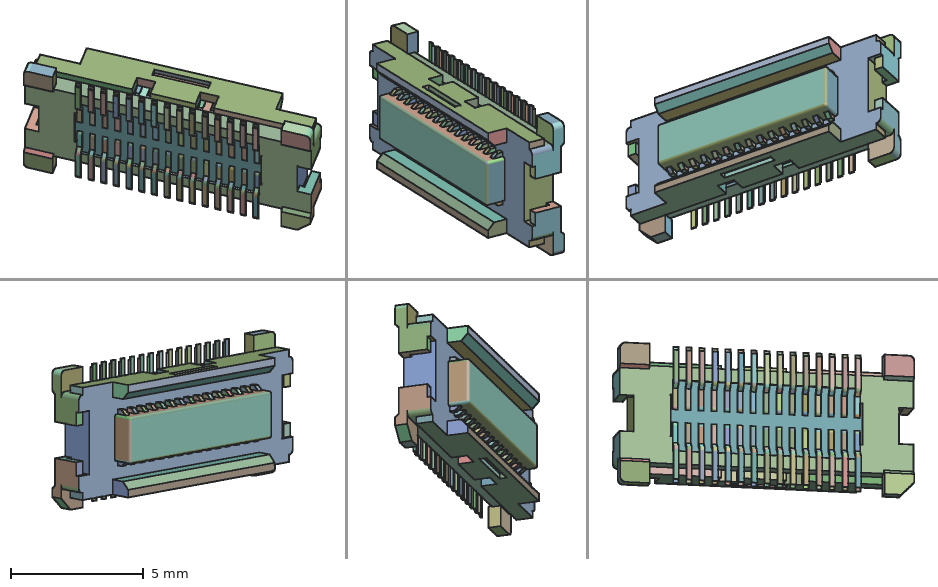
import cadquery as cq
import math


body_length = 11.3
body_half_height = 1.88
body_bottom = 0.175
body_top = 1.47
corner_radius = 0.2

foot_length = 1.14
foot_bottom = 0.03
foot_top = 0.52
foot_half_height = 2.7
foot_ramp_start = 1.75
foot_root = body_half_height - corner_radius
foot_corner_chamfer = 0.5

wall_outer = 2.16
wall_inner = 1.58
wall_base = 0.81
wall_base_length = 10.9
wall_top = 2.3
wall_length = 7.74
lead_in_y = 0.27
lead_in_z = 0.28

pocket_length = 2.22
pocket_low = 1.74
pocket_high = 2.02
pocket_depth = 0.2

window_offset = 1.25
window_width = 0.72
window_top = 1.43
window_floor = 1.73
ramp_low = 1.05
ramp_depth = 0.23

notch_depth = 0.55
notch_half_height = 0.7
tab_half_height = 1.22
tab_head_bottom = 1.33
tab_slot_bottom = 0.49
tab_thickness = 0.2

tongue_length = 7.5
tongue_half_height = 0.9
tongue_radius = 0.1

pin_count = 15
pin_pitch = 0.5
pin_width = 0.2
pin_thickness = 0.13
pin_tip = 2.63
pin_step_length = 0.13
pin_step_depth = 0.07
pin_bend = 1.25
pin_bend_radius = 0.23
pin_tail_bottom = 0.2
pin_tail_depth = 0.15
pin_tail_end = 0.25
pin_tail_round = 0.13

bump_outer = 1.08
bump_shoulder = 1.68
bump_top = 1.9

recess_depth = 0.1
recess_floor = body_bottom + recess_depth
recess_half_height = 1.37
recess_length = (pin_count - 1) * pin_pitch + pin_width
recess_wide_length = 7.38
recess_wide_half_height = 0.8

SIDES = (1, -1)


def block(x_range, y_range, z_range):
    """Box spanning the given (low, high) ranges."""
    low = [min(r) for r in (x_range, y_range, z_range)]
    size = [max(r) - min(r) for r in (x_range, y_range, z_range)]
    return cq.Workplane("XY").box(*size, centered=False).translate(tuple(low))


def centered_block(length, y_range, half_height):
    """Box centred on X = 0 and Z = 0."""
    return block((-length / 2, length / 2), y_range, (-half_height, half_height))


def both_rows(shape):
    """The shape together with its mirror image across Z = 0."""
    return shape.union(shape.mirror("XY"))


def extrude_yz(points, x_center, width):
    """Prism along X with a polygonal (y, z) section."""
    sketch = cq.Workplane("YZ").polyline(points).close()
    return sketch.extrude(width / 2, both=True).translate((x_center, 0, 0))


def pin_positions():
    return [(i - (pin_count - 1) / 2) * pin_pitch for i in range(pin_count)]


def make_body():
    core = centered_block(body_length, (body_bottom, body_top), body_half_height)
    return core.edges("|Y").fillet(corner_radius)


def make_foot(x_side, z_side):
    x_end = body_length / 2
    points = [
        (foot_top, foot_root),
        (body_bottom, foot_root),
        (body_bottom, foot_ramp_start),
        (foot_bottom, body_half_height),
        (foot_bottom, foot_half_height),
        (foot_top, foot_half_height),
    ]
    foot = extrude_yz(points, x_end - foot_length / 2, foot_length)
    outer_corner = foot.edges("|Y").edges(">X").edges(">Z")
    if x_side > 0 and z_side < 0:
        foot = outer_corner.chamfer(foot_corner_chamfer)
    else:
        foot = outer_corner.fillet(corner_radius)
    if x_side < 0:
        foot = foot.mirror("YZ")
    if z_side < 0:
        foot = foot.mirror("XY")
    return foot


def make_wall():
    """Shroud wall on the +Z side, with its pocket."""
    base_half = wall_base_length / 2
    wall = block((-base_half, base_half), (wall_base, body_top), (wall_inner, wall_outer))
    upper_section = [
        (body_top, wall_inner),
        (wall_top - lead_in_y, wall_inner),
        (wall_top, wall_inner + lead_in_z),
        (wall_top, wall_outer),
        (body_top, wall_outer),
    ]
    wall = wall.union(extrude_yz(upper_section, 0, wall_length))
    pocket_half = pocket_length / 2
    pocket = block(
        (-pocket_half, pocket_half),
        (pocket_low, pocket_high),
        (wall_outer - pocket_depth, wall_outer),
    )
    return wall.cut(pocket)


def make_windows():
    """Windows of both rows, each with a sloped cavity at every pin it exposes."""
    windows = cq.Workplane("XY")
    for x_side in SIDES:
        center = x_side * window_offset
        window = block(
            (center - window_width / 2, center + window_width / 2),
            (wall_base, window_top),
            (window_floor, wall_outer),
        )
        windows = windows.union(window)
    ramp_section = [
        (ramp_low, window_floor),
        (window_top, window_floor),
        (ramp_low, window_floor - ramp_depth),
    ]
    for x in pin_positions():
        if abs(abs(x) - window_offset) < window_width / 2:
            windows = windows.union(extrude_yz(ramp_section, x, pin_width))
    return both_rows(windows)


def make_end_notch():
    """Notch and tab slot removed from the +X end."""
    x_end = body_length / 2
    x_floor = x_end - notch_depth
    notch = block(
        (x_floor, x_end),
        (foot_bottom, body_top),
        (-notch_half_height, notch_half_height),
    )
    tab_height = (-tab_half_height, tab_half_height)
    tab_head = block((x_floor, x_end), (tab_head_bottom, body_top), tab_height)
    tab_slot = block((x_floor, x_floor + tab_thickness), (tab_slot_bottom, body_top), tab_height)
    return notch.union(tab_head).union(tab_slot)


def make_recess():
    depth_range = (body_bottom, recess_floor)
    recess = centered_block(recess_length, depth_range, recess_half_height)
    return recess.union(centered_block(recess_wide_length, depth_range, recess_wide_half_height))


def make_tongue():
    tongue = centered_block(tongue_length, (body_top, wall_top), tongue_half_height)
    return tongue.edges("|Y or >Y").fillet(tongue_radius)


def make_pin(x):
    """Soldering pin of the +Z row: stepped tip, lead, 45 degree bend, and tail set into the body."""
    tail_inner = pin_tail_bottom + pin_tail_depth
    bend_tangent = pin_bend_radius * math.tan(math.radians(45 / 2))
    bend_offset = bend_tangent * math.sqrt(0.5)
    profile = (
        cq.Workplane("YZ")
        .moveTo(pin_tail_bottom, pin_bend - pin_tail_bottom)
        .lineTo(pin_tail_bottom, pin_tail_end + pin_tail_round)
        .tangentArcPoint((recess_floor, pin_tail_end), relative=False)
        .lineTo(tail_inner, pin_tail_end)
        .lineTo(tail_inner, pin_bend - pin_tail_bottom)
        .lineTo(pin_thickness, pin_bend - pin_tail_bottom + tail_inner - pin_thickness)
        .lineTo(pin_thickness, pin_tip)
        .lineTo(pin_step_depth, pin_tip)
        .lineTo(pin_step_depth, pin_tip - pin_step_length)
        .lineTo(0, pin_tip - pin_step_length)
        .lineTo(0, pin_bend + bend_tangent)
        .tangentArcPoint((bend_offset, pin_bend - bend_offset), relative=False)
        .close()
    )
    return profile.extrude(pin_width / 2, both=True).translate((x, 0, 0))


def make_contact_bump(x):
    """Contact of the +Z row standing out from the side of the tongue."""
    inner = tongue_half_height - tongue_radius
    section = [
        (body_top, inner),
        (bump_top, inner),
        (bump_top, tongue_half_height),
        (bump_shoulder, bump_outer),
        (body_top, bump_outer),
    ]
    return extrude_yz(section, x, pin_width)


def make_connector():
    part = make_body().union(both_rows(make_wall()))
    for x_side in SIDES:
        for z_side in SIDES:
            part = part.union(make_foot(x_side, z_side))
    part = part.cut(make_windows())
    end_notch = make_end_notch()
    part = part.cut(end_notch).cut(end_notch.mirror("YZ"))
    part = part.cut(make_recess()).union(make_tongue())
    for x in pin_positions():
        part = part.union(both_rows(make_pin(x)))
        part = part.union(both_rows(make_contact_bump(x)))
    return part


result = make_connector()